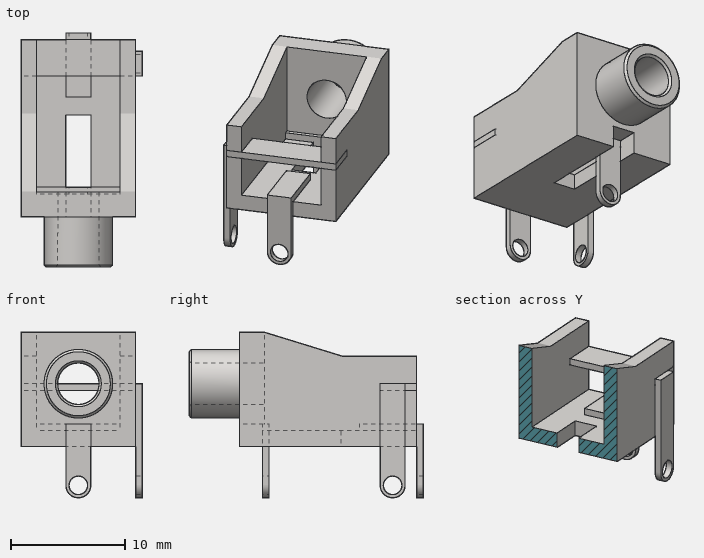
import cadquery as cq


width = 10.0
front_height = 10.0
rear_height = 7.91
depth = 15.5
front_wall = 2.2
side_wall = 1.35
floor_top = 1.4
slope_end_y = 9.0
inner_width = width - 2 * side_wall

bush_diameter = 6.0
bush_length = 4.4
bore_diameter = 3.6
bore_z = 5.5
bush_chamfer = 0.2

strip_thickness = 0.6
tab_width = 2.2
tab_bottom_z = -4.49
tab_hole_diameter = 1.6
tab_radius = tab_width / 2
contact_top_z = floor_top + strip_thickness

front_contact_y = 2.0
floor_slot_end_y = 8.9
rear_leg_start_y = 10.5
side_tab_start_y = 12.3
side_bar_bottom_z = bore_z - strip_thickness


def block(x_range, y_range, z_range):
    """Box spanning the given lower and upper limits."""
    size = [high - low for low, high in (x_range, y_range, z_range)]
    corner = (x_range[0], y_range[0], z_range[0])
    return cq.Workplane("XY").box(*size, centered=False).translate(corner)


def make_tab(top_z):
    """Upright solder tab: round lower end with a hole, front face on Y = 0."""
    tab_end_z = tab_bottom_z + tab_radius
    tab = (
        cq.Workplane("XZ")
        .moveTo(-tab_radius, top_z)
        .lineTo(-tab_radius, tab_end_z)
        .threePointArc((0, tab_bottom_z), (tab_radius, tab_end_z))
        .lineTo(tab_radius, top_z)
        .close()
        .extrude(-strip_thickness)
    )
    hole = (
        cq.Workplane("XZ")
        .center(0, tab_end_z)
        .circle(tab_hole_diameter / 2)
        .extrude(-strip_thickness)
    )
    return tab.cut(hole)


def make_front_crossbar():
    """Bar resting on the floor, with its front edge let into the front wall."""
    return block(
        (-inner_width / 2, inner_width / 2),
        (front_contact_y, front_contact_y + strip_thickness),
        (floor_top, contact_top_z),
    )


def make_side_bar():
    """Flat bar passing through both side walls, flush with the rear."""
    return block(
        (-width / 2, width / 2),
        (side_tab_start_y, depth),
        (side_bar_bottom_z, bore_z),
    )


def make_front_contact():
    tab = make_tab(contact_top_z).translate((0, front_contact_y, 0))
    return tab.union(make_front_crossbar())


def make_rear_contact():
    """Angle with one leg lying on the floor and its tab behind the housing."""
    leg = block(
        (-tab_radius, tab_radius),
        (rear_leg_start_y, depth),
        (floor_top, contact_top_z),
    )
    tab = make_tab(contact_top_z).translate((0, depth, 0))
    return tab.union(leg)


def make_side_contact():
    """Bar across the housing with a tab bent down outside the +X wall."""
    tab = (
        make_tab(bore_z)
        .rotate((0, 0, 0), (0, 0, 1), -90)
        .translate((width / 2, side_tab_start_y + tab_radius, 0))
    )
    return tab.union(make_side_bar())


def make_bush():
    return (
        cq.Workplane("XZ")
        .center(0, bore_z)
        .circle(bush_diameter / 2)
        .extrude(bush_length)
        .faces("<Y")
        .chamfer(bush_chamfer)
    )


def make_bore():
    """Plug opening through bush and front wall, flared at the mouth."""
    bore = (
        cq.Workplane("XZ", origin=(0, front_wall, bore_z))
        .circle(bore_diameter / 2)
        .extrude(front_wall + bush_length)
    )
    mouth_radius = bore_diameter / 2 + bush_chamfer
    flare = cq.Solid.makeCone(
        mouth_radius,
        bore_diameter / 2,
        bush_chamfer,
        pnt=cq.Vector(0, -bush_length, bore_z),
        dir=cq.Vector(0, 1, 0),
    )
    return bore.union(cq.Workplane(flare))


def make_housing():
    side_outline = [
        (0, 0),
        (depth, 0),
        (depth, rear_height),
        (slope_end_y, rear_height),
        (front_wall, front_height),
        (0, front_height),
    ]
    shell = cq.Workplane("YZ").polyline(side_outline).close().extrude(width / 2, both=True)
    cavity = block(
        (-inner_width / 2, inner_width / 2),
        (front_wall, depth),
        (floor_top, front_height),
    )
    floor_slot = block(
        (-tab_radius, tab_radius),
        (0, floor_slot_end_y),
        (0, contact_top_z),
    )
    return (
        shell.cut(cavity)
        .union(make_bush())
        .cut(make_bore())
        .cut(floor_slot)
        .cut(make_front_crossbar())
        .cut(make_side_bar())
    )


housing = make_housing()
front_contact = make_front_contact()
rear_contact = make_rear_contact()
side_contact = make_side_contact()

result = cq.Compound.makeCompound(
    [housing.val(), front_contact.val(), rear_contact.val(), side_contact.val()]
)